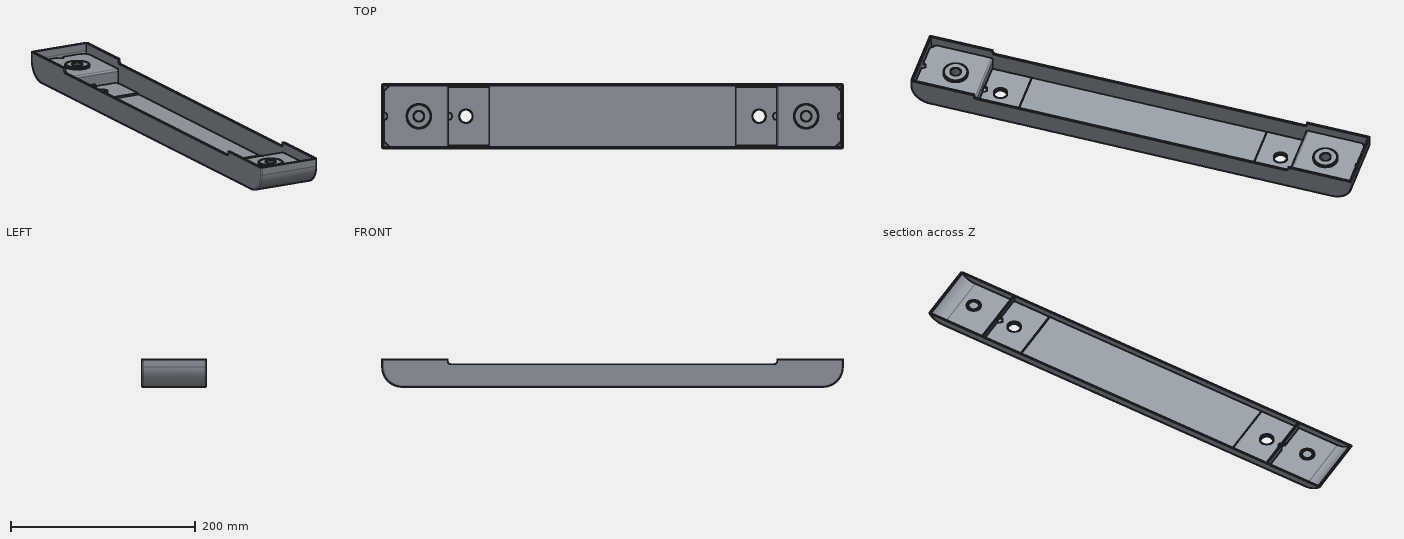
import cadquery as cq

LENGTH = 500.0
WIDTH = 70.0
HEIGHT = 30.0
SHEET = 2.0

END_RADIUS = 22.0
EDGE_FILLET = 1.5
RIM_STEP = 5.0
RIM_REACH = 71.5
RIM_FILLET = 3.0
COVER_HOLE_RADIUS = 7.0

PLATFORM_TOP = 19.0
STEP_REACH = 72.0
FOOT_REACH = 116.5
BEND_RADIUS = 2.0
CORNER_CUT = 6.0
FOOT_CLEARANCE = 1.5
RELIEF_RADIUS = 4.0
HOLE_REACH = 91.0
FOOT_HOLE_RADIUS = 7.5

NUT_REACH = 40.0
BORE_RADIUS = 5.5
BORE_CHAMFER = 0.5
SHANK_RADIUS = 8.0
SHANK_BOTTOM = 9.0
FLANGE_RADIUS = 13.5
FLANGE_HEIGHT = 2.5
FLANGE_CHAMFER = 1.0

LEFT_END = -LENGTH / 2
INNER_WIDTH = WIDTH - 2 * SHEET
FOOT_TOP = 2 * SHEET
FLANGE_TOP = PLATFORM_TOP + FLANGE_HEIGHT


def disc(x, radius, bottom, top):
    """Upright cylinder on the centre line."""
    return cq.Workplane("XY", origin=(x, 0, bottom)).circle(radius).extrude(top - bottom)


def tray_block(inset):
    """Solid block with both lower ends rounded, inset from the cover's ends, sides and floor."""
    block = cq.Workplane("XY", origin=(0, 0, inset)).box(
        LENGTH - 2 * inset, WIDTH - 2 * inset, HEIGHT - inset, centered=(True, True, False)
    )
    return block.edges("|Y and <Z").fillet(END_RADIUS - inset)


def rim_cutter():
    """Block that lowers the side walls between the two full-height ends."""
    cutter = cq.Workplane("XY", origin=(0, 0, HEIGHT - RIM_STEP)).box(
        LENGTH - 2 * RIM_REACH, 2 * WIDTH, 2 * RIM_STEP, centered=(True, True, False)
    )
    return cutter.edges("|Y and <Z").fillet(RIM_FILLET)


def make_cover():
    """Open tray with curved ends and two mounting holes in its floor."""
    outside = tray_block(0).faces("<Z").edges("|X").fillet(EDGE_FILLET)
    cover = outside.cut(tray_block(SHEET)).cut(rim_cutter())
    for side in (-1, 1):
        cover = cover.cut(disc(side * (LEFT_END + HOLE_REACH), COVER_HOLE_RADIUS, 0, SHEET))
    return cover


def bent_sheet(end, step, tip):
    """Full-width Z-shaped sheet: platform, upright, and foot resting on the cover's floor."""
    sheet = (
        cq.Workplane("XZ", origin=(0, INNER_WIDTH / 2, 0))
        .moveTo(end, PLATFORM_TOP)
        .lineTo(step, PLATFORM_TOP)
        .lineTo(step, FOOT_TOP)
        .lineTo(tip, FOOT_TOP)
        .lineTo(tip, SHEET)
        .lineTo(step - SHEET, SHEET)
        .lineTo(step - SHEET, PLATFORM_TOP - SHEET)
        .lineTo(end, PLATFORM_TOP - SHEET)
        .close()
        .extrude(INNER_WIDTH)
    )
    top_of_upright = cq.selectors.NearestToPointSelector((step, 0, PLATFORM_TOP))
    return sheet.edges(top_of_upright).fillet(BEND_RADIUS)


def make_left_bracket():
    """Bent sheet fitted inside the left end of the cover."""
    end = LEFT_END + SHEET
    step = LEFT_END + STEP_REACH
    tip = LEFT_END + FOOT_REACH
    bracket = bent_sheet(end, step, tip).edges("|Z and <X").chamfer(CORNER_CUT)

    bracket = bracket.intersect(tray_block(SHEET))

    for side in (-1, 1):
        strip_y = side * (INNER_WIDTH - FOOT_CLEARANCE) / 2
        strip = cq.Workplane("XY", origin=(step, strip_y, SHEET)).box(
            tip - step, FOOT_CLEARANCE, SHEET, centered=(False, True, False)
        )
        bracket = bracket.cut(strip)

    bracket = bracket.cut(disc(end, RELIEF_RADIUS, SHEET, PLATFORM_TOP))
    bracket = bracket.cut(disc(step, RELIEF_RADIUS, SHEET, FOOT_TOP + RELIEF_RADIUS / 2))
    bracket = bracket.cut(disc(LEFT_END + HOLE_REACH, FOOT_HOLE_RADIUS, SHEET, FOOT_TOP))
    return bracket.cut(disc(LEFT_END + NUT_REACH, SHANK_RADIUS, SHEET, PLATFORM_TOP))


def make_left_nut():
    """Flanged nut whose shank passes through the left platform."""
    x = LEFT_END + NUT_REACH
    flange = disc(x, FLANGE_RADIUS, PLATFORM_TOP, FLANGE_TOP).faces(">Z").chamfer(FLANGE_CHAMFER)
    nut = flange.union(disc(x, SHANK_RADIUS, SHANK_BOTTOM, PLATFORM_TOP))
    nut = nut.cut(disc(x, BORE_RADIUS, SHANK_BOTTOM, FLANGE_TOP))
    bore_rim = cq.selectors.RadiusNthSelector(0)
    return nut.faces(">Z").edges(bore_rim).chamfer(BORE_CHAMFER)


def left_and_right(left_body):
    """The given left-hand body and its mirror image at the right end, as two solids."""
    return [left_body.val(), left_body.mirror("YZ").val()]


def single_solids(shapes):
    """Every solid held by the given shapes."""
    return [solid for shape in shapes for solid in shape.Solids()]


cover = make_cover()
brackets = left_and_right(make_left_bracket())
nuts = left_and_right(make_left_nut())

result = cq.Compound.makeCompound(single_solids([cover.val(), *brackets, *nuts]))